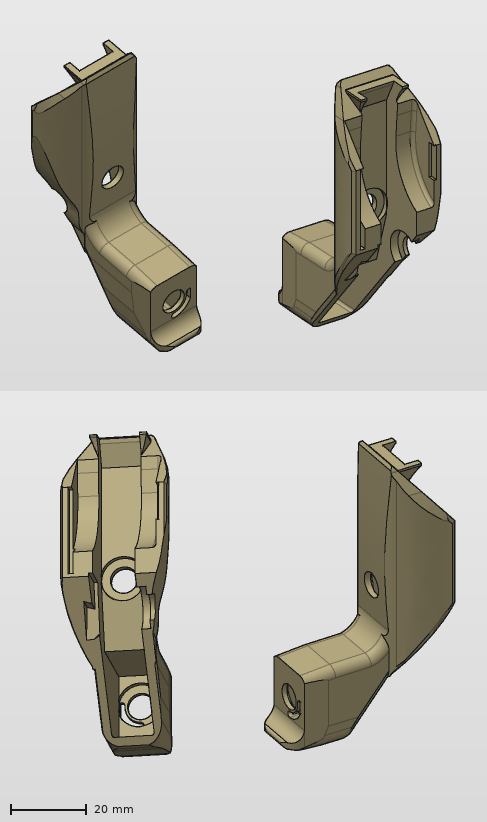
import cadquery as cq
import math

HEIGHT = 80.9
TIP_X = 47.6
CUTTER = 161.8

FRONT_BOTTOM_Z = 37.3
FRONT_TOP_Z = 62.4
CREST_X = 15.8
HEEL_X = 31.1
BACK_TOP = (16.5, 79.8)
BACK_MIDDLE = (17.55, 52.6)
BACK_BOTTOM = (17.1, 30.7)
BLEND_MIDDLE = (18.5, 27.2)
ARM_TOP_START = (22.65, 24.4)
ARM_TOP_MIDDLE = (33.6, 24.3)
ARM_END_X = 42.7
ARM_END_TOP_Z = 23.5
ARM_END_BOTTOM_Z = 7.85
TOE_TOP = (46.75, 4.4)
TOE_TOP_MIDDLE = (44.1, 5.25)
TOE_TIP_Z = 3.4
TOE_BOTTOM = (46.3, 2.4)
TOE_ROOT = (39.15, 1.45)
SOLE_FRONT = (33.6, 0.25)

HEEL_HALF_WIDTH = 4.0
LEFT_HEEL_MIDDLE = (7.1, 1.5)
LEFT_HEEL_END = (8.25, 4.8)
LEFT_NECK = (8.65, 17.6)
LEFT_LOWER_CURVE = [(12.1, 24.75), (14.5, 36.15)]
LEFT_CHEEK_TOP = (14.6, 49.1)
LEFT_UPPER_CURVE = [(14.4, 63.9), (11.65, 72.8)]
LEFT_CREST_START = (8.65, 79.3)
LEFT_CREST_MIDDLE = (8.2, 80.25)
CREST_HALF_WIDTH = 7.4
RIGHT_CREST_MIDDLE = (-8.1, 80.25)
RIGHT_CREST_END = (-8.6, 79.3)
RIGHT_CHEEK_TOP = (-11.6, 72.8)
RIGHT_CURVE = [
    (-14.0, 63.9), (-13.0, 44.5), (-11.3, 37.05), (-9.55, 32.35), (-9.4, 28.3), (-8.6, 24.3),
]
RIGHT_ARM_MIDDLE = (-8.4, 10.5)
RIGHT_HEEL_START = (-8.0, 5.3)
RIGHT_HEEL_MIDDLE = (-6.7, 1.8)

LEFT_CHEEK_START = (0, 14.15)
LEFT_CHEEK_CURVE = [(2.2, 14.5), (5.8, 14.1), (10.4, 12.9), (12.95, 11.65), (15.45, 9.7)]
LEFT_BACK_CORNER = (17.1, 8.2)
SHELL_BACK_X = 17.6
SHELL_BACK_HALF_WIDTH = 6.5
RIGHT_BACK_CORNER = (17.0, -7.8)
RIGHT_BACK_START = (15.45, -8.8)
RIGHT_CHEEK_CURVE = [(12.0, -11.3), (8.9, -12.9), (4.05, -14.1), (0, -13.8)]

ARM_START_X = 9.7
ARM_SIDE_LEFT = 8.3
ARM_SIDE_RIGHT = 8.5
ARM_EDGE_RADIUS = 2.8
ARM_TAPER_X = 35.6
ARM_END_HALF_WIDTH = 7.85
TOE_CORNER = (46.5, 6.15)
TOE_EDGE_HALF_WIDTH = 3.6
EDGE_BREAK_WIDTH = 0.4
EDGE_BREAK_DEPTH = 1.1
MIN_BORDER_LENGTH = 20.2

CHANNEL_WIDTH = 11.4
HALF_CHANNEL = CHANNEL_WIDTH / 2
CHANNEL_CORNER_RADIUS = 0.8
CHANNEL_FLOOR_X = 13.9
CHANNEL_MOUTH_X = 10.6
MOUTH_LIP_X = 11.0
MOUTH_LIP_Z = 77.65
FLOOR_TOP_Z = 71.8
FLOOR_BOTTOM_Z = 37.9
LOWER_SLOPE_X = 18.6
ARM_CAVITY_TOP_Z = 22.3
ARM_CAVITY_BOTTOM_Z = 2.0
ARM_CAVITY_END_X = 39.6

HOLE_DIAMETER = 7.3
RECESS_DIAMETER = 12.0
RECESS_DEPTH = 1.6
UPPER_HOLE_Z = 40.9
LOWER_HOLE_Z = 14.2
SIDE_HOLE_Z = 29.8
SIDE_RECESS_Y = -8.2

SLOT_INNER_RADIUS = 4.4
SLOT_OUTER_RADIUS = 6.15
SLOT_START_ANGLE = 5.0
SLOT_END_ANGLE = -88.0

SEAT_BOTTOM_Z = 44.25
SEAT_ARC_MIDDLE = (6.3, 50.1)
SEAT_DEEPEST = (9.6, 62.8)
SEAT_UPPER = (9.15, 69.2)
SEAT_TOP = (8.8, 72.8)
SEAT_HALF_WIDTH = 11.3
SEAT_CORNER_RADIUS = 1.05

GROOVE_DEPTH = 2.4
LEFT_GROOVE_Y = (10.8, 12.3)
LEFT_GROOVE_BOTTOM_Z = 38.35
RIGHT_GROOVE_Y = (-12.05, -11.3)
RIGHT_GROOVE_BOTTOM_Z = 52.1

POCKET_OUTLINE = [(0, 38.2), (6.7, 38.2), (6.7, 31.3), (8.8, 31.9), (9.4, 22.2), (5.7, 24.6), (0, 24.6)]
POCKET_FLOOR_TOP_X = 8.0
POCKET_FLOOR_BOTTOM_X = 11.8

FLARE_TOP_Z = 78.8
FLARE_LIP_Z = 78.1
FLARE_BOTTOM = (9.4, 73.45)
FLARE_CURVE_MIDDLE = (8.2, 76.0)
FLARE_FRONT_X = 6.55
FLARE_BACK_X = 13.8
FLARE_HALF_WIDTH = 7.6
FLARE_BOTTOM_HALF_WIDTH = 5.8

LOWER_SLOPE = HEEL_X / FRONT_BOTTOM_Z
UPPER_SLOPE = CREST_X / (HEIGHT - FRONT_TOP_Z)
TOLERANCE = 0.01


def along_y(profile):
    """Extrude an XZ profile through the whole part, both ways in Y."""
    return profile.close().extrude(CUTTER / 2, both=True)


def x_cylinder(diameter, z, start_x, end_x):
    return cq.Workplane("YZ", origin=(start_x, 0, z)).circle(diameter / 2).extrude(end_x - start_x)


def box_between(x_range, y_range, z_range):
    size = [b - a for a, b in (x_range, y_range, z_range)]
    corner = (x_range[0], y_range[0], z_range[0])
    return cq.Workplane("XY").box(*size, centered=False).translate(corner)


def side_prism():
    """Outline of the upper shell and its foot, seen along Y."""
    return along_y(
        cq.Workplane("XZ")
        .moveTo(0, FRONT_BOTTOM_Z)
        .lineTo(0, FRONT_TOP_Z)
        .lineTo(CREST_X, HEIGHT)
        .lineTo(*BACK_TOP)
        .threePointArc(BACK_MIDDLE, BACK_BOTTOM)
        .threePointArc(BLEND_MIDDLE, ARM_TOP_START)
        .lineTo(*ARM_TOP_MIDDLE)
        .lineTo(ARM_END_X, ARM_END_TOP_Z)
        .lineTo(ARM_END_X, ARM_END_BOTTOM_Z)
        .threePointArc(TOE_TOP_MIDDLE, TOE_TOP)
        .threePointArc((TIP_X, TOE_TIP_Z), TOE_BOTTOM)
        .lineTo(*TOE_ROOT)
        .lineTo(*SOLE_FRONT)
        .lineTo(HEEL_X, 0)
    )


def face_prism():
    """Outline of the part seen along X; the -Y side dips in below the cheek."""
    return (
        cq.Workplane("YZ")
        .moveTo(HEEL_HALF_WIDTH, 0)
        .threePointArc(LEFT_HEEL_MIDDLE, LEFT_HEEL_END)
        .lineTo(*LEFT_NECK)
        .spline(LEFT_LOWER_CURVE, includeCurrent=True)
        .lineTo(*LEFT_CHEEK_TOP)
        .spline(LEFT_UPPER_CURVE, includeCurrent=True)
        .lineTo(*LEFT_CREST_START)
        .threePointArc(LEFT_CREST_MIDDLE, (CREST_HALF_WIDTH, HEIGHT))
        .lineTo(-CREST_HALF_WIDTH, HEIGHT)
        .threePointArc(RIGHT_CREST_MIDDLE, RIGHT_CREST_END)
        .lineTo(*RIGHT_CHEEK_TOP)
        .spline(RIGHT_CURVE, includeCurrent=True)
        .lineTo(*RIGHT_ARM_MIDDLE)
        .lineTo(*RIGHT_HEEL_START)
        .threePointArc(RIGHT_HEEL_MIDDLE, (-HEEL_HALF_WIDTH, 0))
        .close()
        .extrude(CUTTER / 2, both=True)
    )


def shell_prism():
    """D-shaped plan of the upper shell."""
    return (
        cq.Workplane("XY")
        .moveTo(*LEFT_CHEEK_START)
        .spline(LEFT_CHEEK_CURVE, includeCurrent=True)
        .threePointArc(LEFT_BACK_CORNER, (SHELL_BACK_X, SHELL_BACK_HALF_WIDTH))
        .lineTo(SHELL_BACK_X, -SHELL_BACK_HALF_WIDTH)
        .threePointArc(RIGHT_BACK_CORNER, RIGHT_BACK_START)
        .spline(RIGHT_CHEEK_CURVE, includeCurrent=True)
        .close()
        .extrude(HEIGHT)
    )


def break_side_edges(solid):
    """Bevel the +Y and -Y borders of the front face and of the two sloping faces."""
    def is_border(edge):
        x, _, z = edge.positionAt(0.5).toTuple()
        lower_x = (FRONT_BOTTOM_Z - z) * LOWER_SLOPE
        upper_x = (z - FRONT_TOP_Z) * UPPER_SLOPE
        return abs(x - max(0, lower_x, upper_x)) < TOLERANCE and edge.Length() > MIN_BORDER_LENGTH

    lengths = (EDGE_BREAK_DEPTH, EDGE_BREAK_WIDTH)
    for side in (1, -1):
        border = [e for e in solid.edges("not |Y").vals() if e.Center().y * side > 0.8 and is_border(e)]
        solid = cq.Workplane(solid.val().chamfer(*lengths[::side], border))
    return solid


def shell(sides):
    return break_side_edges(shell_prism().intersect(sides))


def arm_prism(sides):
    """The arm, with its top edges and toe corners rounded."""
    arm = sides.intersect(
        box_between((ARM_START_X, TIP_X), (-ARM_SIDE_RIGHT, ARM_SIDE_LEFT), (0, BACK_BOTTOM[1]))
    )
    arm_box = arm.val().BoundingBox()
    crown = cq.selectors.BoxSelector(
        (BACK_BOTTOM[0], arm_box.ymin - 0.8, ARM_END_TOP_Z),
        (ARM_END_X, arm_box.ymax + 0.8, BLEND_MIDDLE[1]),
    )
    arm = break_side_edges(arm.edges(crown).edges("not |Y").fillet(ARM_EDGE_RADIUS))
    plan = (
        cq.Workplane("XY")
        .moveTo(0, ARM_SIDE_LEFT)
        .lineTo(ARM_TAPER_X, ARM_SIDE_LEFT)
        .lineTo(ARM_END_X, ARM_END_HALF_WIDTH)
        .threePointArc(TOE_CORNER, (TIP_X, TOE_EDGE_HALF_WIDTH))
        .lineTo(TIP_X, -TOE_EDGE_HALF_WIDTH)
        .threePointArc((TOE_CORNER[0], -TOE_CORNER[1]), (ARM_END_X, -ARM_END_HALF_WIDTH))
        .lineTo(ARM_TAPER_X, -ARM_SIDE_RIGHT)
        .lineTo(0, -ARM_SIDE_RIGHT)
        .close()
        .extrude(HEIGHT)
    )
    return arm.intersect(plan)


def flare():
    """Funnel walls standing out of the upper sloping face."""
    side = along_y(
        cq.Workplane("XZ")
        .moveTo(*FLARE_BOTTOM)
        .threePointArc(FLARE_CURVE_MIDDLE, (FLARE_FRONT_X, FLARE_LIP_Z))
        .lineTo(FLARE_FRONT_X, FLARE_TOP_Z)
        .lineTo(FLARE_BACK_X, FLARE_TOP_Z)
        .lineTo(FLARE_BACK_X, FLARE_BOTTOM[1])
    )
    half = [(FLARE_BOTTOM_HALF_WIDTH, FLARE_BOTTOM[1]), (FLARE_HALF_WIDTH, FLARE_LIP_Z),
            (FLARE_HALF_WIDTH, FLARE_TOP_Z)]
    mirrored = [(-y, z) for y, z in reversed(half)]
    face = cq.Workplane("YZ").polyline(half + mirrored).close().extrude(CUTTER)
    return side.intersect(face)


def channel():
    profile = (
        cq.Workplane("XZ", origin=(0, HALF_CHANNEL, 0))
        .moveTo(-0.8, ARM_CAVITY_BOTTOM_Z)
        .lineTo(ARM_CAVITY_END_X, ARM_CAVITY_BOTTOM_Z)
        .lineTo(ARM_CAVITY_END_X, ARM_CAVITY_TOP_Z)
        .lineTo(LOWER_SLOPE_X, ARM_CAVITY_TOP_Z)
        .lineTo(CHANNEL_FLOOR_X, FLOOR_BOTTOM_Z)
        .lineTo(CHANNEL_FLOOR_X, FLOOR_TOP_Z)
        .lineTo(MOUTH_LIP_X, MOUTH_LIP_Z)
        .lineTo(CHANNEL_MOUTH_X, FLARE_TOP_Z)
        .lineTo(-0.8, FLARE_TOP_Z)
        .close()
    )
    return profile.extrude(CHANNEL_WIDTH).edges("|X and <Z").fillet(CHANNEL_CORNER_RADIUS)


def seat():
    profile = (
        cq.Workplane("XZ", origin=(0, SEAT_HALF_WIDTH, 0))
        .moveTo(0, SEAT_BOTTOM_Z)
        .threePointArc(SEAT_ARC_MIDDLE, SEAT_DEEPEST)
        .lineTo(*SEAT_UPPER)
        .lineTo(*SEAT_TOP)
        .lineTo(0, SEAT_TOP[1])
        .close()
    )
    seat_cut = profile.extrude(2 * SEAT_HALF_WIDTH)
    floor_edges = seat_cut.faces("<Y").edges("not <X").edges("not >Z")
    return seat_cut.newObject(floor_edges.vals()).fillet(SEAT_CORNER_RADIUS)


def grooves():
    left = box_between((0, GROOVE_DEPTH), LEFT_GROOVE_Y, (LEFT_GROOVE_BOTTOM_Z, FRONT_TOP_Z))
    right = box_between((0, GROOVE_DEPTH), RIGHT_GROOVE_Y, (RIGHT_GROOVE_BOTTOM_Z, FRONT_TOP_Z))
    return left.union(right)


def pocket():
    outline = cq.Workplane("YZ").polyline(POCKET_OUTLINE).close().extrude(CUTTER)
    z_values = [z for _, z in POCKET_OUTLINE]
    floor_limit = along_y(
        cq.Workplane("XZ").polyline([
            (0, min(z_values)), (POCKET_FLOOR_BOTTOM_X, min(z_values)),
            (POCKET_FLOOR_TOP_X, max(z_values)), (0, max(z_values)),
        ])
    )
    return outline.intersect(floor_limit)


def side_hole():
    """Hole and recess along Y, centred on the lower sloping face."""
    centre_x = (FRONT_BOTTOM_Z - SIDE_HOLE_Z) * LOWER_SLOPE
    plane = cq.Workplane("XZ", origin=(centre_x, 0, SIDE_HOLE_Z))
    hole = plane.circle(HOLE_DIAMETER / 2).extrude(CUTTER)
    return hole.union(plane.circle(RECESS_DIAMETER / 2).extrude(-SIDE_RECESS_Y))


def curved_slot():
    """Round-ended slot on the rim of the lower recess, through the arm's end wall."""
    outer = SLOT_OUTER_RADIUS
    middle = (outer + SLOT_INNER_RADIUS) / 2
    width = outer - SLOT_INNER_RADIUS

    def at(radius, degrees):
        angle = math.radians(degrees)
        return radius * math.cos(angle), radius * math.sin(angle)

    middle_angle = (SLOT_START_ANGLE + SLOT_END_ANGLE) / 2
    plane = cq.Workplane("YZ", origin=(ARM_CAVITY_END_X, 0, LOWER_HOLE_Z))
    slot = (
        plane.moveTo(*at(SLOT_INNER_RADIUS, SLOT_START_ANGLE))
        .threePointArc(at(SLOT_INNER_RADIUS, middle_angle), at(SLOT_INNER_RADIUS, SLOT_END_ANGLE))
        .lineTo(*at(outer, SLOT_END_ANGLE))
        .threePointArc(at(outer, middle_angle), at(outer, SLOT_START_ANGLE))
        .close().extrude(CUTTER)
    )
    ends = plane.pushPoints([at(middle, SLOT_START_ANGLE), at(middle, SLOT_END_ANGLE)])
    slot = slot.union(ends.circle(width / 2).extrude(CUTTER))
    return slot.intersect(box_between((0, CUTTER), (-HALF_CHANNEL, HALF_CHANNEL), (0, HEIGHT)))


sides = side_prism()
body = shell(sides).union(arm_prism(sides)).intersect(face_prism())
body = body.union(flare()).cut(channel())
for cutter in (seat(), grooves(), pocket(), side_hole(), curved_slot()):
    body = body.cut(cutter)
for hole_z, floor_x in ((UPPER_HOLE_Z, CHANNEL_FLOOR_X), (LOWER_HOLE_Z, ARM_CAVITY_END_X)):
    body = body.cut(x_cylinder(HOLE_DIAMETER, hole_z, 0, CUTTER))
    body = body.cut(x_cylinder(RECESS_DIAMETER, hole_z, floor_x, floor_x + RECESS_DEPTH))

result = body